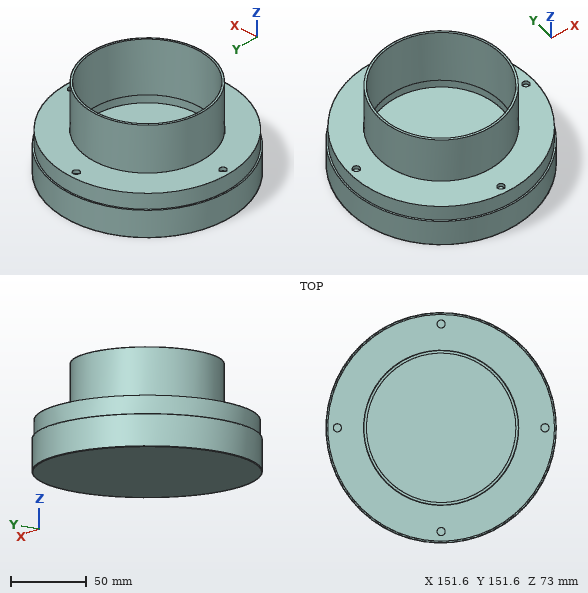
import cadquery as cq

base_diameter = 151.64
base_height = 22.225
base_chamfer = 0.508

flange_diameter = 149.1
flange_thickness = 12.7
flange_top = base_height + flange_thickness

tube_outer_diameter = 101.6
tube_inner_diameter = 98.3
tube_projection = 38.1
tube_insertion = flange_thickness / 2
tube_bottom = flange_top - tube_insertion
tube_length = tube_insertion + tube_projection
socket_clearance = 0.254
socket_diameter = tube_outer_diameter + 2 * socket_clearance

screw_count = 4
screw_diameter = 5.35
screw_circle_diameter = 136.53
screw_recess = 2.9
screw_engagement = 12.7
screw_bottom = base_height - screw_engagement
screw_length = flange_top - screw_recess - screw_bottom


def cylinder(diameter, bottom, height):
    """Upright cylinder on the part's axis."""
    return cq.Workplane("XY").workplane(offset=bottom).circle(diameter / 2).extrude(height)


def screw_positions(bottom):
    """Workplane at the given height with one point per screw."""
    return (
        cq.Workplane("XY")
        .workplane(offset=bottom)
        .polarArray(screw_circle_diameter / 2, 0, 360, screw_count, rotate=False)
    )


def screw_cylinders(height):
    """Cylinders of screw diameter rising from the screws' lower ends."""
    return screw_positions(screw_bottom).circle(screw_diameter / 2).extrude(height)


def make_base():
    disc = cylinder(base_diameter, 0, base_height).faces("<Z").chamfer(base_chamfer)
    return disc.cut(screw_cylinders(screw_length))


def make_flange():
    disc = cylinder(flange_diameter, base_height, flange_thickness)
    opening = cylinder(tube_inner_diameter, base_height, flange_thickness)
    socket = cylinder(socket_diameter, tube_bottom, tube_insertion)
    screw_holes = screw_cylinders(flange_top - screw_bottom)
    return disc.cut(opening).cut(socket).cut(screw_holes)


def make_tube():
    outside = cylinder(tube_outer_diameter, tube_bottom, tube_length)
    bore = cylinder(tube_inner_diameter, tube_bottom, tube_length)
    return outside.cut(bore)


base = make_base()
flange = make_flange()
tube = make_tube()
screws = screw_cylinders(screw_length)

result = cq.Compound.makeCompound([base.val(), flange.val(), tube.val(), *screws.vals()])